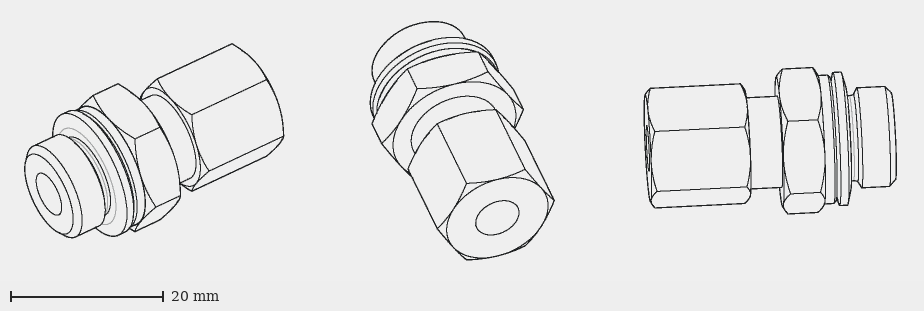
import cadquery as cq
import math

total_length = 32.2
tip_chamfer_end = 0.85
thread_end = 4.48
relief_start = 4.95
relief_arc_end = 5.5
washer_start = 5.95
washer_rim_start = 6.45
washer_rim_end = 7.5
collar_start = 7.95
collar_chamfer_end = 8.25
body_hex_start = 9.5
body_hex_end = 14.95
nut_start = 19.15

bore_diameter = 6.0
thread_diameter = 13.15
tip_diameter = 11.4
relief_diameter = 11.2
relief_edge_diameter = 11.4
washer_face_diameter = 13.72
washer_diameter = 17.5
collar_diameter = 16.88
neck_diameter = 11.98
body_hex_flats = 17.0
nut_flats = 14.05

collar_chamfer = collar_chamfer_end - collar_start

relief_arc_run = relief_arc_end - relief_start
relief_arc_rise = (relief_edge_diameter - relief_diameter) / 2
relief_arc_radius = (relief_arc_run**2 + relief_arc_rise**2) / (2 * relief_arc_rise)

hex_chamfer_angle = 30.0


def revolve_about_y(profile):
    """Revolve (radius, y) points, closed along the axis, about the Y axis."""
    points = [(0, profile[0][1])] + profile + [(0, profile[-1][1])]
    return cq.Workplane("XY").polyline(points).close().revolve(360, (0, 0, 0), (0, 1, 0))


def chamfered_hex(flats, start, end):
    """Hexagon along Y with corners on the X axis and both ends coned down to the flats."""
    flat_radius = flats / 2
    corner_radius = flat_radius / math.cos(math.pi / 6)
    drop = (corner_radius - flat_radius) * math.tan(math.radians(hex_chamfer_angle))
    prism = (
        cq.Workplane("XZ", origin=(0, start, 0))
        .polygon(6, 2 * corner_radius)
        .extrude(-(end - start))
    )
    envelope = revolve_about_y([
        (flat_radius, start),
        (corner_radius, start + drop),
        (corner_radius, end - drop),
        (flat_radius, end),
    ])
    return prism.intersect(envelope)


thread_body = (
    cq.Workplane("XY")
    .moveTo(0, 0)
    .lineTo(tip_diameter / 2, 0)
    .lineTo(thread_diameter / 2, tip_chamfer_end)
    .lineTo(thread_diameter / 2, thread_end)
    .lineTo(relief_edge_diameter / 2, relief_start)
    .radiusArc((relief_diameter / 2, relief_arc_end), relief_arc_radius)
    .lineTo(relief_diameter / 2, washer_start)
    .lineTo(0, washer_start)
    .close()
    .revolve(360, (0, 0, 0), (0, 1, 0))
)

washer_to_neck = revolve_about_y([
    (washer_face_diameter / 2, washer_start),
    (washer_diameter / 2, washer_rim_start),
    (washer_diameter / 2, washer_rim_end),
    (washer_face_diameter / 2, collar_start),
    (collar_diameter / 2 - collar_chamfer, collar_start),
    (collar_diameter / 2, collar_chamfer_end),
    (collar_diameter / 2, body_hex_start),
    (neck_diameter / 2, body_hex_start),
    (neck_diameter / 2, nut_start),
])

body_hex = chamfered_hex(body_hex_flats, body_hex_start, body_hex_end)
nut = chamfered_hex(nut_flats, nut_start, total_length)

bore = cq.Workplane("XZ").circle(bore_diameter / 2).extrude(-total_length)

result = thread_body.union(washer_to_neck).union(body_hex).union(nut).cut(bore)